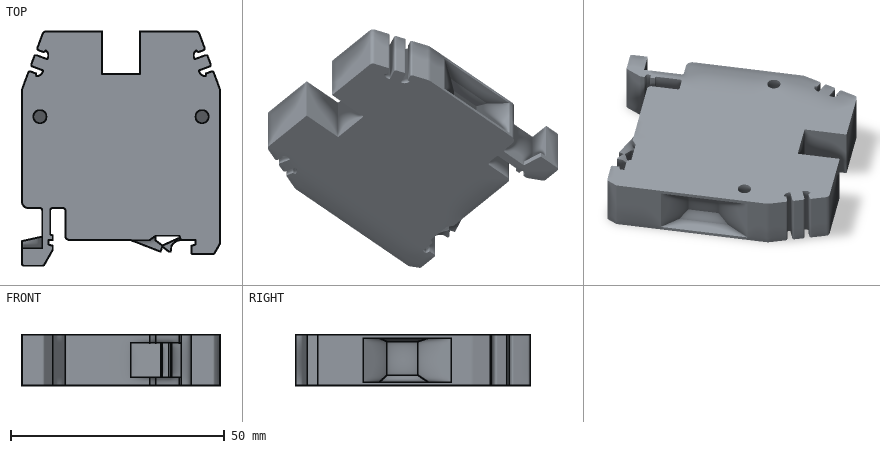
import cadquery as cq
import math

WIDTH = 46.5
HEIGHT = 55.0
THICKNESS = 12.0
CENTRE_X = WIDTH / 2

SHOULDER_Y = 41.35
SHOULDER_INSET = 5.05
SHOULDER_ROUND = 1.0
FLANK_FOOT_ROUND = 1.8
FLANK_ANGLE = math.degrees(math.atan2(HEIGHT - SHOULDER_Y, SHOULDER_INSET))

SLOT_WIDTH = 1.2
SLOT_DEPTH = 3.1
SLOT_BARB_START = 1.8
SLOT_BARB_TIP = (2.1, 1.15)
SLOT_BARB_ARC = (2.75, 0.7)
SLOT_LIP_ROUND = 0.45
LOWER_SLOT_DISTANCE = 5.3
UPPER_SLOT_DISTANCE = 9.35

NOTCH_WIDTH = 8.8
NOTCH_DEPTH = 10.0

HOLE_DIAMETER = 3.1
HOLE_DEPTH = 5.5
HOLE_Y = 35.0
HOLE_INSET = 4.25

FUNNEL_MOUTH_Y = (15.85, 36.45)
FUNNEL_FLOOR_Y = (21.4, 28.6)
FUNNEL_MOUTH_Z = (0.75, 11.15)
FUNNEL_FLOOR_Z = (2.5, 10.3)
FUNNEL_DEPTH = 5.4
FUNNEL_STRAIGHT = 3.65

LEDGE_Y = 13.55
LEDGE_ROUND = 1.55
BASE_Y = 6.05
BASE_LEFT_X = 10.2
BASE_ROUND = 1.0
GROOVE_ROUND = 0.5

STEM_LEFT_X = 4.75
STEM_RIGHT_X = 6.65
HOOK_X = 7.25
HOOK_TOP_Y = 7.15
HOOK_SLOT_X = 6.25
HOOK_SLOT_Y = 5.0
HOOK_LIP_Y = 4.75
HOOK_BEVEL_Y = 3.75
TOE_X = 5.1
FOOT_TOP_Y = 4.1
FOOT_ROUND = 0.55
HOOK_SLOPE = 0.2

GUSSET_THICKNESS = 1.3
GUSSET_OUTER_Y = 5.85
GUSSET_INNER_Y = 6.9

FIXED_FOOT_Y = 2.75
FIXED_FOOT_X = 39.7
FIXED_LIP_Y = 4.75
FIXED_SLOT_X = 40.7
FIXED_SLOT_Y = 5.0
FIXED_TOE_X = 45.05
FIXED_BEVEL_Y = 5.2
FIXED_FOOT_ROUND = 0.45

RECESS_TOP_Y = 7.05
RECESS_LEFT_X = 29.9
RECESS_TOP_LEFT_X = 31.35
RECESS_TOP_RIGHT_X = 36.85
RECESS_RIGHT_X = 37.35

CLIP_LENGTH_Z = 8.1
CLIP_Z = (THICKNESS - CLIP_LENGTH_Z) / 2
CLIP_MEET_X = 32.95
CLIP_MEET_TOP_Y = 4.8
CLIP_MEET_LOW_Y = 4.5
CLIP_TIP_Y = 3.3
RAMP_START_X = 25.45
RAMP_TIP_X = 32.5
RAMP_BACK_Y = 6.0
HOOK_CLIP_TOP_Y = 6.65
HOOK_CLIP_TIP_X = (34.5, 34.9)
HOOK_CLIP_ARC_END = (35.1, 4.7)
HOOK_CLIP_ARC_MID = (35.9, 5.55)


def mirrored(shape):
    """Copy of a cutter on the other side of the housing's centre plane."""
    return shape.mirror("YZ", (CENTRE_X, 0, 0))


def round_at(body, radius, points):
    """Round the Z edges of the body that stand at the given X, Y points."""
    for x, y in points:
        edge = cq.selectors.NearestToPointSelector((x, y, THICKNESS / 2))
        body = body.edges("|Z").edges(edge).fillet(radius)
    return body


def make_housing_blank():
    outline = [
        (0, SHOULDER_Y),
        (SHOULDER_INSET, HEIGHT),
        (WIDTH - SHOULDER_INSET, HEIGHT),
        (WIDTH, SHOULDER_Y),
        (WIDTH, FIXED_BEVEL_Y),
        (FIXED_TOE_X, FIXED_FOOT_Y),
        (FIXED_FOOT_X, FIXED_FOOT_Y),
        (FIXED_FOOT_X, FIXED_LIP_Y),
        (FIXED_SLOT_X, FIXED_SLOT_Y),
        (FIXED_SLOT_X, BASE_Y),
        (RECESS_RIGHT_X, BASE_Y),
        (RECESS_TOP_RIGHT_X, RECESS_TOP_Y),
        (RECESS_TOP_LEFT_X, RECESS_TOP_Y),
        (RECESS_LEFT_X, BASE_Y),
        (BASE_LEFT_X, BASE_Y),
        (BASE_LEFT_X, LEDGE_Y),
        (STEM_RIGHT_X, LEDGE_Y),
        (STEM_RIGHT_X, HOOK_TOP_Y + HOOK_SLOPE),
        (HOOK_X, HOOK_TOP_Y),
        (HOOK_X, BASE_Y),
        (HOOK_SLOT_X, BASE_Y),
        (HOOK_SLOT_X, HOOK_SLOT_Y),
        (HOOK_X, HOOK_LIP_Y),
        (HOOK_X, HOOK_BEVEL_Y),
        (TOE_X, 0),
        (0, 0),
        (0, FOOT_TOP_Y),
        (STEM_LEFT_X, FOOT_TOP_Y),
        (STEM_LEFT_X, LEDGE_Y),
        (0, LEDGE_Y),
    ]
    blank = cq.Workplane("XY").polyline(outline).close().extrude(THICKNESS)
    shoulders = [(SHOULDER_INSET, HEIGHT), (WIDTH - SHOULDER_INSET, HEIGHT)]
    groove_corners = [(STEM_LEFT_X, LEDGE_Y), (STEM_RIGHT_X, LEDGE_Y), (BASE_LEFT_X, LEDGE_Y)]
    blank = round_at(blank, SHOULDER_ROUND, shoulders)
    blank = round_at(blank, FLANK_FOOT_ROUND, [(0, SHOULDER_Y), (WIDTH, SHOULDER_Y)])
    blank = round_at(blank, LEDGE_ROUND, [(0, LEDGE_Y)])
    blank = round_at(blank, BASE_ROUND, [(BASE_LEFT_X, BASE_Y)])
    blank = round_at(blank, GROOVE_ROUND, groove_corners)
    blank = round_at(blank, FOOT_ROUND, [(0, 0), (TOE_X, 0), (FIXED_TOE_X, FIXED_FOOT_Y)])
    return round_at(blank, FIXED_FOOT_ROUND, [(FIXED_FOOT_X, FIXED_FOOT_Y)])


def make_gusset():
    outline = [
        (0, FOOT_TOP_Y),
        (STEM_LEFT_X, FOOT_TOP_Y),
        (STEM_LEFT_X, GUSSET_INNER_Y),
        (0, GUSSET_OUTER_Y),
    ]
    return cq.Workplane("XY").polyline(outline).close().extrude(GUSSET_THICKNESS)


def make_notch():
    return (
        cq.Workplane("XY")
        .center(CENTRE_X, HEIGHT - NOTCH_DEPTH / 2)
        .rect(NOTCH_WIDTH, NOTCH_DEPTH)
        .extrude(THICKNESS)
    )


def make_marker_slot(distance, barb_side):
    """Slot in the left flank with a rounded mouth; barb_side is +1 for a barb upward, -1 downward."""
    half = SLOT_WIDTH / 2
    lip = SLOT_LIP_ROUND
    lip_middle = lip * (1 - math.sqrt(0.5))
    slot = (
        cq.Workplane("XY")
        .moveTo(0, -(half + lip) * barb_side)
        .threePointArc((lip_middle, -(half + lip_middle) * barb_side), (lip, -half * barb_side))
        .lineTo(SLOT_DEPTH, -half * barb_side)
        .threePointArc(
            (SLOT_BARB_ARC[0], SLOT_BARB_ARC[1] * barb_side),
            (SLOT_BARB_TIP[0], SLOT_BARB_TIP[1] * barb_side),
        )
        .lineTo(SLOT_BARB_START, half * barb_side)
        .lineTo(lip, half * barb_side)
        .threePointArc((lip_middle, (half + lip_middle) * barb_side), (0, (half + lip) * barb_side))
        .close()
        .extrude(THICKNESS)
    )
    flank = math.radians(FLANK_ANGLE)
    mouth = (distance * math.cos(flank), SHOULDER_Y + distance * math.sin(flank), 0)
    return slot.rotate((0, 0, 0), (0, 0, 1), FLANK_ANGLE - 90).translate(mouth)


def make_hole():
    return (
        cq.Workplane("XY", origin=(HOLE_INSET, HOLE_Y, THICKNESS - HOLE_DEPTH))
        .circle(HOLE_DIAMETER / 2)
        .extrude(HOLE_DEPTH)
    )


def make_funnel():
    """Left wire funnel: its Y walls slope all the way in, its Z walls only near the floor."""
    y_taper = [
        (0, FUNNEL_MOUTH_Y[0]),
        (FUNNEL_DEPTH, FUNNEL_FLOOR_Y[0]),
        (FUNNEL_DEPTH, FUNNEL_FLOOR_Y[1]),
        (0, FUNNEL_MOUTH_Y[1]),
    ]
    z_taper = [
        (0, FUNNEL_MOUTH_Z[0]),
        (FUNNEL_STRAIGHT, FUNNEL_MOUTH_Z[0]),
        (FUNNEL_DEPTH, FUNNEL_FLOOR_Z[0]),
        (FUNNEL_DEPTH, FUNNEL_FLOOR_Z[1]),
        (FUNNEL_STRAIGHT, FUNNEL_MOUTH_Z[1]),
        (0, FUNNEL_MOUTH_Z[1]),
    ]
    across = cq.Workplane("XY").polyline(y_taper).close().extrude(THICKNESS)
    upright = cq.Workplane("XZ").polyline(z_taper).close().extrude(-HEIGHT)
    return across.intersect(upright)


def make_housing():
    housing = make_housing_blank().union(make_gusset()).cut(make_notch())
    side_cutters = [
        make_marker_slot(LOWER_SLOT_DISTANCE, -1),
        make_marker_slot(UPPER_SLOT_DISTANCE, 1),
        make_hole(),
        make_funnel(),
    ]
    for cutter in side_cutters:
        housing = housing.cut(cutter).cut(mirrored(cutter))
    return housing


def make_ramp_clip():
    """Wedge under the housing that fills the left end of the recess."""
    outline = [
        (RAMP_START_X, BASE_Y),
        (RECESS_LEFT_X, BASE_Y),
        (RECESS_TOP_LEFT_X, RECESS_TOP_Y),
        (RECESS_TOP_LEFT_X, RAMP_BACK_Y),
        (CLIP_MEET_X, CLIP_MEET_TOP_Y),
        (CLIP_MEET_X, CLIP_MEET_LOW_Y),
        (RAMP_TIP_X, CLIP_TIP_Y),
    ]
    return cq.Workplane("XY", origin=(0, 0, CLIP_Z)).polyline(outline).close().extrude(CLIP_LENGTH_Z)


def make_hook_clip():
    """Curved hook that rests on the sloping right wall of the recess."""
    wall_fraction = (RECESS_TOP_Y - HOOK_CLIP_TOP_Y) / (RECESS_TOP_Y - BASE_Y)
    wall_x = RECESS_TOP_RIGHT_X + wall_fraction * (RECESS_RIGHT_X - RECESS_TOP_RIGHT_X)
    return (
        cq.Workplane("XY", origin=(0, 0, CLIP_Z))
        .moveTo(CLIP_MEET_X, CLIP_MEET_TOP_Y)
        .lineTo(wall_x, HOOK_CLIP_TOP_Y)
        .lineTo(RECESS_RIGHT_X, BASE_Y)
        .threePointArc(HOOK_CLIP_ARC_MID, HOOK_CLIP_ARC_END)
        .lineTo(HOOK_CLIP_TIP_X[1], CLIP_TIP_Y)
        .lineTo(HOOK_CLIP_TIP_X[0], CLIP_TIP_Y)
        .lineTo(CLIP_MEET_X, CLIP_MEET_LOW_Y)
        .close()
        .extrude(CLIP_LENGTH_Z)
    )


housing = make_housing()
ramp_clip = make_ramp_clip()
hook_clip = make_hook_clip()

result = cq.Compound.makeCompound([housing.val(), ramp_clip.val(), hook_clip.val()])